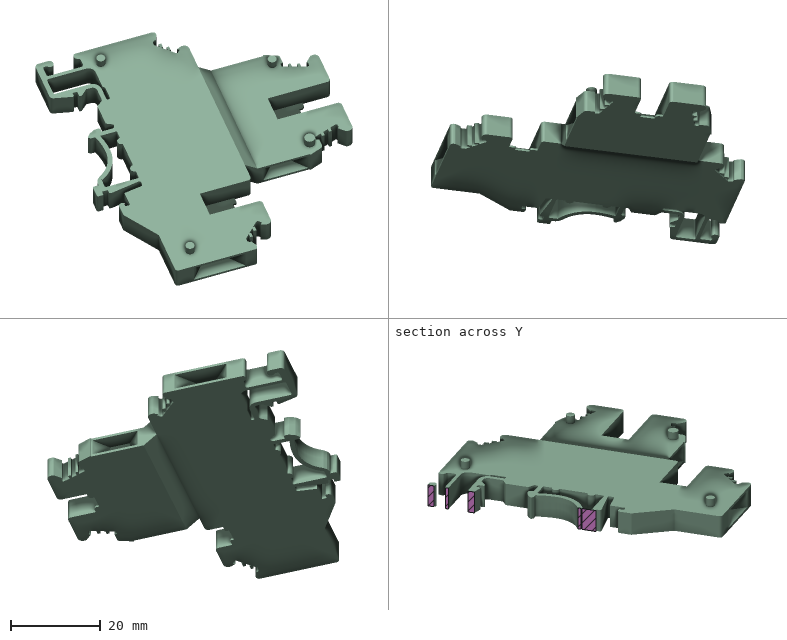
import cadquery as cq
import math

WIDTH = 67.3
DECK_THICKNESS = 5.2
DECK_STEP = 2.4
PIN_HEIGHT = 1.9

LOWER_BACK_Y = 34.0
LOWER_BOTTOM_Y = 9.05
RAIL_SEAT_Y = 10.6
EAR_INSET = 6.0
HEAD_RADIUS = 1.1

LEFT_FOOT_TOP_Y = 9.0
POST_TOP_Y = 9.55

UPPER_CENTRE_X = 28.2
UPPER_HALF_WIDTH = 15.2
UPPER_HEAD_HALF_WIDTH = 11.75
UPPER_BACK_Y = 61.0
RAMP_TOP_Y = 37.0

SLOT_WIDTH = 6.5
SLOT_MOUTH_RADIUS = 0.8
LOWER_SLOT_CENTRE_X = 51.1
LOWER_SLOT_Y = 21.75
UPPER_SLOT_Y = 46.1
TAB_NOTCH_WIDTH = 3.3
TAB_THICKNESS = 0.45
TAB_LENGTH = 8.2
LOWER_TAB_NOTCH_DEPTH = 0.9
LOWER_TAB_RADIUS = 0.3
UPPER_TAB_NOTCH_DEPTH = 1.3
UPPER_TAB_RADIUS = 0.8

ENTRY_SKIN = 0.6
LOWER_ENTRY_Y = (13.3, 25.5)
LOWER_ENTRY_TAPER = 3.75
UPPER_ENTRY_Y = (38.4, 49.0)
UPPER_ENTRY_TAPER = 3.0
ENTRY_DEPTH_PER_TAPER = 1.17

PIN_RADIUS = 1.0
WIDE_PIN_RADIUS = 1.2
LOWER_PIN_X = (4.65, 62.8)
LOWER_PIN_Y = 14.0
UPPER_PIN_OFFSET_X = 12.2
UPPER_PIN_Y = 50.4

RIB_THICKNESS = 0.65
LOWER_RIBS = ((5.15, 29.95), (3.75, 28.6))
UPPER_RIBS = ((17.7, 56.25), (17.05, 54.35))
RIB_ROOT = 1.1

ARCH_CROWN = (29.2, 7.35)
ARCH_THICKNESS = 1.1
ARCH_FLAT_RADIUS = 16.5
ARCH_STEEP_RADIUS = 8.35
ARCH_LEFT_X = 23.9
ARCH_FOOT_X = 36.7

BUMP_RADIUS = 0.95
BUMP_X = (27.45, 35.9)


def rounded_outline(corners):
    """Closed wire through (x, y) or (x, y, radius) corners, each radius rounding its corner."""
    pieces = []
    count = len(corners)
    for i in range(count):
        x, y = corners[i][:2]
        radius = corners[i][2] if len(corners[i]) == 3 else 0.0
        before = corners[i - 1]
        after = corners[(i + 1) % count]
        if radius == 0.0:
            pieces.append([(x, y)])
            continue
        len_in = math.hypot(before[0] - x, before[1] - y)
        len_out = math.hypot(after[0] - x, after[1] - y)
        ux, uy = (before[0] - x) / len_in, (before[1] - y) / len_in
        vx, vy = (after[0] - x) / len_out, (after[1] - y) / len_out
        half = math.acos(ux * vx + uy * vy) / 2
        setback = radius / math.tan(half)
        bisector = math.hypot(ux + vx, uy + vy)
        to_arc = radius / math.sin(half) - radius
        middle = (x + (ux + vx) / bisector * to_arc, y + (uy + vy) / bisector * to_arc)
        start = (x + ux * setback, y + uy * setback)
        end = (x + vx * setback, y + vy * setback)
        pieces.append([start, middle, end])
    wire = cq.Workplane("XY").moveTo(*pieces[0][-1])
    for piece in pieces[1:] + pieces[:1]:
        wire = wire.lineTo(*piece[0])
        if len(piece) == 3:
            wire = wire.threePointArc(piece[1], piece[2])
    return wire.close()


def plate(corners):
    """Deck-thick plate with the given outline, standing on Z = 0."""
    return rounded_outline(corners).extrude(DECK_THICKNESS)


def block(x_min, x_max, y_min, y_max):
    """Deck-thick rectangular block, standing on Z = 0."""
    return plate([(x_min, y_min), (x_max, y_min), (x_max, y_max), (x_min, y_max)])


def mirrored(corners, centre_x):
    """The corners reflected about X = centre_x, in reverse order."""
    return [(2 * centre_x - c[0], *c[1:]) for c in reversed(corners)]


def mirrored_pair(solid, centre_x):
    """The solid together with its reflection about X = centre_x."""
    return solid.union(solid.mirror("YZ", (centre_x, 0, 0)))


def marker_ribs(places, centre_x):
    """Small square-ended ribs, placed by their upper left corner, on both notches of a deck."""
    ribs = cq.Workplane("XY")
    for x, y in places:
        ribs = ribs.union(block(x, x + RIB_ROOT, y - RIB_THICKNESS, y))
    return mirrored_pair(ribs, centre_x)


def slot(centre_x, floor_y, back_y):
    """Slot open to the back edge of a deck, its mouth flared by rounded corners."""
    half = SLOT_WIDTH / 2
    flare = half + 2 * SLOT_MOUTH_RADIUS
    beyond = back_y + SLOT_MOUTH_RADIUS
    return plate([
        (centre_x - half, floor_y),
        (centre_x + half, floor_y),
        (centre_x + half, back_y, SLOT_MOUTH_RADIUS),
        (centre_x + flare, back_y),
        (centre_x + flare, beyond),
        (centre_x - flare, beyond),
        (centre_x - flare, back_y),
        (centre_x - half, back_y, SLOT_MOUTH_RADIUS),
    ])


def slot_tab(centre_x, floor_y, notch_depth, shoulder_radius):
    """Thin floor of a slot, its end notched between two shoulders."""
    half = SLOT_WIDTH / 2
    notch_half = TAB_NOTCH_WIDTH / 2
    end_y = floor_y + TAB_LENGTH
    notch_y = end_y - notch_depth
    left = [
        (centre_x - notch_half, notch_y),
        (centre_x - notch_half, end_y, shoulder_radius),
        (centre_x - half, end_y),
        (centre_x - half, floor_y),
    ]
    return rounded_outline(left + mirrored(left, centre_x)).extrude(TAB_THICKNESS)


def wire_entries(face_x, centre_x, y_range, taper):
    """Funnels narrowing in Y, cut into the left side face at face_x and its opposite."""
    y_min, y_max = y_range
    depth = ENTRY_DEPTH_PER_TAPER * taper
    funnel = (
        cq.Workplane("XY")
        .workplane(offset=ENTRY_SKIN)
        .polyline([
            (face_x, y_min),
            (face_x + depth, y_min + taper),
            (face_x + depth, y_max - taper),
            (face_x, y_max),
        ])
        .close()
        .extrude(DECK_THICKNESS - 2 * ENTRY_SKIN)
    )
    return mirrored_pair(funnel, centre_x)


def pin(x, y, radius):
    """Locating pin rising above a deck."""
    return cq.Workplane("XY").center(x, y).circle(radius).extrude(DECK_THICKNESS + PIN_HEIGHT)


def lower_body():
    """Main plate of the lower deck, with the hooked rail stop at its lower right."""
    shoulder = [
        (0, 28.35, 0.7),
        (1.0, 28.5, 0.4),
        (2.5, 27.75, 0.3),
        (2.4, 27.35),
        (2.85, 26.95),
        (3.65, 26.95),
        (7.75, 31.0, 0.4),
        (6.8, 31.85),
        (6.5, 31.35),
        (EAR_INSET, 32.5, 0.6),
        (EAR_INSET, LOWER_BACK_Y, HEAD_RADIUS),
    ]
    bottom = [
        (WIDTH, LOWER_BOTTOM_Y, 0.7),
        (56.1, LOWER_BOTTOM_Y),
        (47.9, 3.65),
        (44.5, 3.65, 0.7),
        (44.5, 4.95, 0.3),
        (45.65, 4.95),
        (45.65, 6.05),
        (41.95, 6.05),
        (41.3, RAIL_SEAT_Y, 0.35),
        (39.8, RAIL_SEAT_Y, 0.35),
        (39.97, POST_TOP_Y),
        (38.9, POST_TOP_Y),
        (38.9, RAIL_SEAT_Y, 0.35),
        (24.45, RAIL_SEAT_Y),
        (24.45, POST_TOP_Y),
        (23.35, POST_TOP_Y),
        (23.35, RAIL_SEAT_Y, 0.7),
        (22.35, RAIL_SEAT_Y, 0.4),
        (21.5, LOWER_BOTTOM_Y),
        (16.05, LOWER_BOTTOM_Y),
        (14.9, RAIL_SEAT_Y, 0.8),
        (10.6, RAIL_SEAT_Y, 1.1),
        (10.6, LEFT_FOOT_TOP_Y),
        (4.1, LEFT_FOOT_TOP_Y),
        (4.1, 10.15, 0.6),
        (1.95, 10.15, 0.3),
        (1.3, LOWER_BOTTOM_Y, 0.4),
        (0, LOWER_BOTTOM_Y, 0.6),
    ]
    return plate(shoulder + mirrored(shoulder, WIDTH / 2) + bottom)


def left_foot():
    """Left rail foot: a curled lip, two legs and the toothed inner flank."""
    return plate([
        (0, 4.1, 0.85),
        (1.8, 4.1, 0.8),
        (1.8, 2.9, 0.3),
        (1.3, 2.4),
        (1.3, 1.5, 0.4),
        (4.1, 1.5, 0.5),
        (4.1, LEFT_FOOT_TOP_Y),
        (10.6, LEFT_FOOT_TOP_Y),
        (10.6, 8.4),
        (12.1, 6.75, 0.3),
        (12.0, 6.25, 0.2),
        (10.6, 6.25),
        (10.6, 5.15),
        (11.75, 5.15, 0.3),
        (10.45, 0, 0.9),
        (0, 0, 0.9),
    ])


def left_window():
    """Opening between the legs of the left foot, running into a narrow relief slit."""
    return plate([
        (4.95, 12.05, 1.7),
        (11.2, 12.05),
        (11.55, 12.5),
        (15.05, 12.5, 0.4),
        (15.05, 11.65, 0.4),
        (9.5, 11.65, 2.1),
        (9.5, 1.1, 0.35),
        (4.95, 1.1, 0.35),
    ])


def arch_point(x, inset):
    """Point at X = x on the arch, inset below its top face."""
    radius = ARCH_STEEP_RADIUS if x > ARCH_CROWN[0] else ARCH_FLAT_RADIUS
    across = x - ARCH_CROWN[0]
    drop = radius - math.sqrt((radius - inset) ** 2 - across ** 2)
    return (x, ARCH_CROWN[1] - drop)


def arch():
    """Sprung arch of the centre foot, its two flanks meeting at the crown."""
    crown_x = ARCH_CROWN[0]
    left_mid = (ARCH_LEFT_X + crown_x) / 2
    right_mid = (ARCH_FOOT_X + crown_x) / 2
    inner_foot_x = ARCH_FOOT_X - ARCH_THICKNESS
    inner_mid = (inner_foot_x + crown_x) / 2
    return (
        cq.Workplane("XY")
        .moveTo(*arch_point(ARCH_LEFT_X, 0))
        .threePointArc(arch_point(left_mid, 0), ARCH_CROWN)
        .threePointArc(arch_point(right_mid, 0), arch_point(ARCH_FOOT_X, 0))
        .lineTo(*arch_point(inner_foot_x, ARCH_THICKNESS))
        .threePointArc(arch_point(inner_mid, ARCH_THICKNESS), arch_point(crown_x, ARCH_THICKNESS))
        .threePointArc(arch_point(left_mid, ARCH_THICKNESS), arch_point(ARCH_LEFT_X, ARCH_THICKNESS))
        .close()
        .extrude(DECK_THICKNESS)
    )


def centre_foot():
    """Centre rail foot: hooked left post, arch, and right post with a toothed flank."""
    left_post = plate([
        (23.35, POST_TOP_Y),
        (23.35, 7.4),
        (22.3, 7.4, 0.5),
        (22.3, 6.1, 0.5),
        (23.0, 4.75),
        (24.0, 3.85, 0.2),
        (24.45, 4.5, 0.2),
        (24.45, POST_TOP_Y),
    ])
    right_post = plate([
        (38.9, POST_TOP_Y),
        (38.9, 2.6, 0.35),
        (36.8, 2.6),
        (35.55, 2.5),
        (36.3, 1.75),
        (37.0, 1.45),
        (37.85, 1.45),
        (37.85, 0, 0.35),
        (40.9, 0, 0.4),
        (40.9, 1.5),
        (39.9, 1.5),
        (39.9, 2.9),
        (40.9, 2.9, 0.2),
        (40.95, 3.5),
        (39.97, POST_TOP_Y),
    ])
    return left_post.union(right_post).union(arch())


def rail_bumps():
    """Half-round bumps that press on the rail."""
    return (
        cq.Workplane("XY")
        .pushPoints([(x, RAIL_SEAT_Y) for x in BUMP_X])
        .circle(BUMP_RADIUS)
        .extrude(DECK_THICKNESS)
    )


def lower_deck():
    """Complete lower deck, standing on Z = 0."""
    deck = lower_body().union(left_foot()).cut(left_window())
    deck = deck.union(centre_foot()).union(rail_bumps())
    deck = deck.union(marker_ribs(LOWER_RIBS, WIDTH / 2))
    deck = deck.cut(slot(LOWER_SLOT_CENTRE_X, LOWER_SLOT_Y, LOWER_BACK_Y))
    deck = deck.union(
        slot_tab(LOWER_SLOT_CENTRE_X, LOWER_SLOT_Y, LOWER_TAB_NOTCH_DEPTH, LOWER_TAB_RADIUS)
    )
    deck = deck.cut(wire_entries(0, WIDTH / 2, LOWER_ENTRY_Y, LOWER_ENTRY_TAPER))
    for x in LOWER_PIN_X:
        deck = deck.union(pin(x, LOWER_PIN_Y, PIN_RADIUS))
    return deck


def upper_deck():
    """Complete upper deck, standing on Z = 0."""
    side_x = UPPER_CENTRE_X - UPPER_HALF_WIDTH
    head_x = UPPER_CENTRE_X - UPPER_HEAD_HALF_WIDTH
    left = [
        (side_x, RAMP_TOP_Y),
        (side_x, 49.3),
        (12.75, 49.4),
        (14.0, 52.8, 0.9),
        (16.3, 52.8),
        (16.4, 52.2),
        (17.3, 52.2, 0.3),
        (19.3, 58.0, 0.3),
        (18.2, 58.1),
        (18.0, 57.75),
        (head_x, 59.3, 0.5),
        (head_x, UPPER_BACK_Y, HEAD_RADIUS),
    ]
    deck = plate(left + mirrored(left, UPPER_CENTRE_X))
    deck = deck.union(marker_ribs(UPPER_RIBS, UPPER_CENTRE_X))
    deck = deck.cut(slot(UPPER_CENTRE_X, UPPER_SLOT_Y, UPPER_BACK_Y))
    deck = deck.union(
        slot_tab(UPPER_CENTRE_X, UPPER_SLOT_Y, UPPER_TAB_NOTCH_DEPTH, UPPER_TAB_RADIUS)
    )
    deck = deck.cut(wire_entries(side_x, UPPER_CENTRE_X, UPPER_ENTRY_Y, UPPER_ENTRY_TAPER))
    deck = deck.union(pin(UPPER_CENTRE_X - UPPER_PIN_OFFSET_X, UPPER_PIN_Y, PIN_RADIUS))
    deck = deck.union(pin(UPPER_CENTRE_X + UPPER_PIN_OFFSET_X, UPPER_PIN_Y, WIDE_PIN_RADIUS))
    return deck


def ramp():
    """Sloped web that carries the upper deck down from the lower deck."""
    return (
        cq.Workplane("YZ")
        .workplane(offset=UPPER_CENTRE_X - UPPER_HALF_WIDTH)
        .polyline([
            (LOWER_BACK_Y, DECK_STEP),
            (RAMP_TOP_Y, 0),
            (RAMP_TOP_Y, DECK_THICKNESS),
            (LOWER_BACK_Y, DECK_STEP + DECK_THICKNESS),
        ])
        .close()
        .extrude(2 * UPPER_HALF_WIDTH)
    )


result = lower_deck().translate((0, 0, DECK_STEP)).union(ramp()).union(upper_deck()).clean()